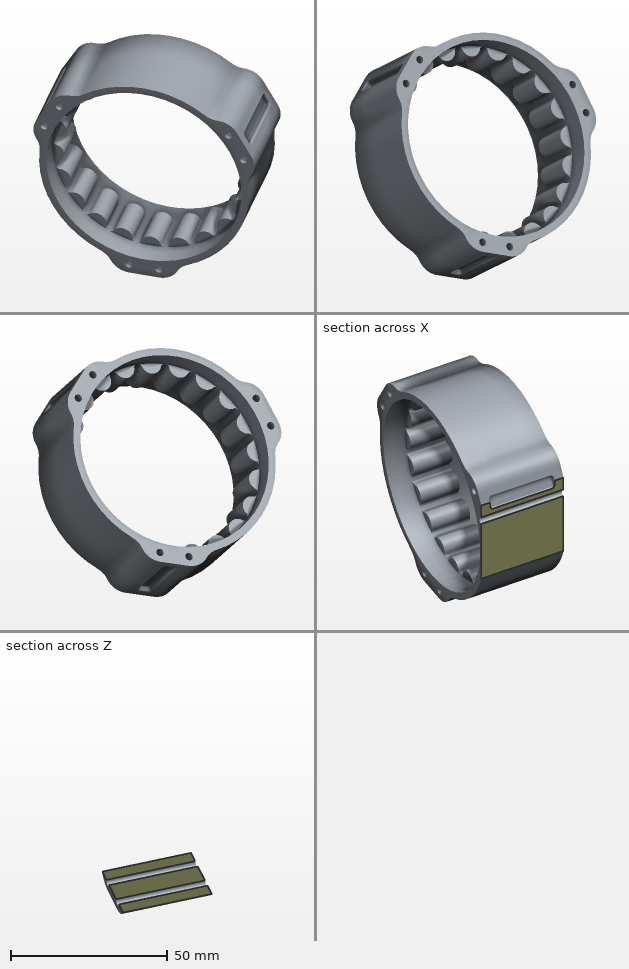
import cadquery as cq
import math

OUTER_RADIUS = 35.0
INNER_RADIUS = 32.5
WIDTH = 30.0

LUG_COUNT = 3
LUG_FACE_DISTANCE = 38.65
LUG_FACE_HALF_LENGTH = 4.95
LUG_BLEND_RADIUS = 7.0

HOLE_RADIUS = 1.25
HOLE_HALF_SPACING = 5.0
HOLE_DISTANCE = 35.5

POCKET_LENGTH = 23.3
POCKET_WIDTH = 4.1
POCKET_DEPTH = 2.0
POCKET_CORNER_RADIUS = 1.0
POCKET_EDGE_RADIUS = 0.5

TOOTH_COUNT = 21
TOOTH_RADIUS = 3.5
TOOTH_LENGTH = 14
TOOTH_ROOT_RADIUS = 1.0

LUG_STEP = 360 / LUG_COUNT
TOOTH_STEP = 360 / TOOTH_COUNT


def polar(radius, angle):
    """Point at a radius from the ring axis; the angle in radians runs from straight down towards +X."""
    return (radius * math.sin(angle), -radius * math.cos(angle))


def toward(start, end, distance):
    """Point at a given distance from start in the direction of end."""
    span = math.dist(start, end)
    return tuple(s + (e - s) * distance / span for s, e in zip(start, end))


def arc_middle(center, start, end):
    """Middle of the shorter arc about center from start to end."""
    chord_middle = [(a + b) / 2 for a, b in zip(start, end)]
    return toward(center, chord_middle, math.dist(center, start))


def angle_between_sides(side_a, side_b, opposite):
    """Angle in radians between two sides of a triangle, by the law of cosines."""
    return math.acos((side_a**2 + side_b**2 - opposite**2) / (2 * side_a * side_b))


def mirrored(point):
    """Point mirrored across the vertical centre line."""
    return (-point[0], point[1])


def turned(shape, angle):
    """Shape turned about the ring axis by an angle in degrees."""
    return shape.rotate((0, 0, 0), (0, 1, 0), angle)


def xz_plane():
    """Plane across the ring axis, half-way along the width."""
    return cq.Workplane("XZ")


def extruded(outline, length):
    """Closed outline extruded along the ring axis, half of the length to each side."""
    return outline.extrude(length / 2, both=True)


def make_lug():
    """Solid lug at the bottom, running into the ring with tangent arcs."""
    shoulder_center = (LUG_FACE_HALF_LENGTH, LUG_BLEND_RADIUS - LUG_FACE_DISTANCE)
    shoulder_distance = math.hypot(*shoulder_center)
    root_distance = OUTER_RADIUS + LUG_BLEND_RADIUS
    shoulder_angle = math.atan2(shoulder_center[0], -shoulder_center[1])
    root_angle = shoulder_angle + angle_between_sides(shoulder_distance, root_distance, 2 * LUG_BLEND_RADIUS)
    root_center = polar(root_distance, root_angle)

    face_end = (LUG_FACE_HALF_LENGTH, -LUG_FACE_DISTANCE)
    blend_point = toward(shoulder_center, root_center, LUG_BLEND_RADIUS)
    ring_point = polar(OUTER_RADIUS, root_angle)
    shoulder_middle = arc_middle(shoulder_center, face_end, blend_point)
    root_middle = arc_middle(root_center, blend_point, ring_point)

    return extruded(
        xz_plane()
        .moveTo(*mirrored(face_end))
        .lineTo(*face_end)
        .threePointArc(shoulder_middle, blend_point)
        .threePointArc(root_middle, ring_point)
        .lineTo(0, 0)
        .lineTo(*mirrored(ring_point))
        .threePointArc(mirrored(root_middle), mirrored(blend_point))
        .threePointArc(mirrored(shoulder_middle), mirrored(face_end))
        .close(),
        WIDTH,
    )


def make_pocket():
    """Pocket volume of the bottom lug, with a rounded floor edge."""
    return (
        cq.Workplane("XY", origin=(0, 0, -LUG_FACE_DISTANCE))
        .rect(POCKET_WIDTH, POCKET_LENGTH)
        .extrude(POCKET_DEPTH)
        .edges("|Z")
        .fillet(POCKET_CORNER_RADIUS)
        .faces(">Z")
        .edges()
        .fillet(POCKET_EDGE_RADIUS)
    )


def make_lug_holes():
    """Cutting cylinders for the two holes of the bottom lug."""
    centers = [(side * HOLE_HALF_SPACING, -HOLE_DISTANCE) for side in (-1, 1)]
    return extruded(xz_plane().pushPoints(centers).circle(HOLE_RADIUS), WIDTH)


def make_tooth():
    """Half-round tooth at the bottom of the bore, with filleted roots."""
    tooth_center = polar(INNER_RADIUS, 0)
    fillet_distance = INNER_RADIUS - TOOTH_ROOT_RADIUS
    fillet_angle = angle_between_sides(INNER_RADIUS, fillet_distance, TOOTH_RADIUS + TOOTH_ROOT_RADIUS)
    fillet_center = polar(fillet_distance, fillet_angle)

    bore_point = polar(INNER_RADIUS, fillet_angle)
    tooth_point = toward(tooth_center, fillet_center, TOOTH_RADIUS)
    fillet_middle = arc_middle(fillet_center, bore_point, tooth_point)
    tip = polar(INNER_RADIUS - TOOTH_RADIUS, 0)
    buried_point = polar((INNER_RADIUS + OUTER_RADIUS) / 2, fillet_angle)

    return extruded(
        xz_plane()
        .moveTo(*mirrored(buried_point))
        .lineTo(*buried_point)
        .lineTo(*bore_point)
        .threePointArc(fillet_middle, tooth_point)
        .threePointArc(tip, mirrored(tooth_point))
        .threePointArc(mirrored(fillet_middle), mirrored(bore_point))
        .close(),
        TOOTH_LENGTH,
    )


body = extruded(xz_plane().circle(OUTER_RADIUS), WIDTH)
lug = make_lug()
for index in range(LUG_COUNT):
    body = body.union(turned(lug, index * LUG_STEP))
body = body.cut(extruded(xz_plane().circle(INNER_RADIUS), WIDTH))

lug_holes = make_lug_holes()
pocket = make_pocket()
for _ in range(LUG_COUNT):
    body = turned(body, LUG_STEP).cut(lug_holes).cut(pocket)
    pocket_rim = body.faces("<Z").val().innerWires()[0]
    body = body.newObject(pocket_rim.Edges()).fillet(POCKET_EDGE_RADIUS)

tooth = make_tooth()
for index in range(TOOTH_COUNT):
    body = body.union(turned(tooth, index * TOOTH_STEP))

result = body